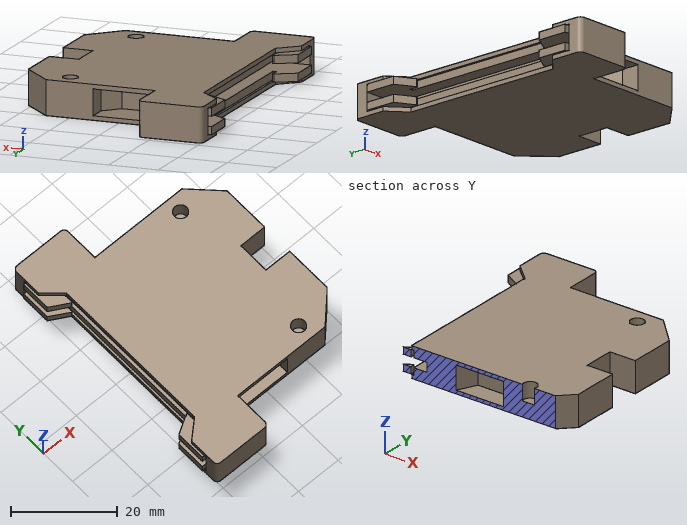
import cadquery as cq

length = 41.5
width = 57.0
thickness = 7.0

foot_front_x = 0.5
foot_back_x = 13.5
foot_corner_radius = 1.0
rail_seat_x = 4.4
seat_half_width = 17.9
seat_mouth_half_width = 21.4
body_half_width = 20.0
back_chamfer = 6.0
notch_depth = 6.0
notch_half_width = 3.5

wall = 0.9
slot_half_width = 25.5
slot_floor_x = 8.0
clip_thickness = 1.6
clip_half_width = 25.0
clip_bridge_x = 4.9
hook_tip_half_width = 18.4
hook_inner_half_width = 16.1
hook_slope_end_x = 4.0
hook_inner_x = 4.25
hook_relief_half_width = 18.0

entry_start_x = foot_back_x
entry_end_x = 26.0
entry_floor_start_x = 17.0
entry_floor_end_x = 23.0
entry_depth = 7.0
entry_straight_depth = 4.0

screw_hole_diameter = 3.0
screw_hole_depth = 3.5
screw_hole_x = 32.0
screw_hole_y = 16.5


def mirrored_outline(half_outline):
    """Close a +Y half outline with its mirror image about y = 0."""
    return half_outline + [(x, -y) for x, y in reversed(half_outline)]


def make_body():
    half_width = width / 2
    half_outline = [
        (rail_seat_x, seat_half_width),
        (foot_front_x, seat_mouth_half_width),
        (foot_front_x, half_width),
        (foot_back_x, half_width),
        (foot_back_x, body_half_width),
        (length - back_chamfer, body_half_width),
        (length, body_half_width - back_chamfer),
        (length, notch_half_width),
        (length - notch_depth, notch_half_width),
    ]
    body = cq.Workplane("XY").polyline(mirrored_outline(half_outline)).close().extrude(thickness)
    foot_corners = body.edges("|Z").edges(">Y or <Y")
    return foot_corners.fillet(foot_corner_radius)


def make_slot():
    return cq.Workplane("XY").box(
        slot_floor_x, 2 * slot_half_width, thickness - 2 * wall, centered=(False, True, False)
    ).translate((0, 0, wall))


def make_clip(bottom_z):
    half_outline = [
        (clip_bridge_x, hook_relief_half_width),
        (hook_inner_x, hook_relief_half_width),
        (hook_inner_x, hook_inner_half_width),
        (hook_slope_end_x, hook_inner_half_width),
        (0, hook_tip_half_width),
        (0, clip_half_width),
        (slot_floor_x, clip_half_width),
    ]
    plate = cq.Workplane("XY").workplane(offset=bottom_z)
    return plate.polyline(mirrored_outline(half_outline)).close().extrude(clip_thickness)


def make_wire_entry():
    floor_y = -body_half_width + entry_depth
    outline = [
        (entry_start_x, -body_half_width),
        (entry_end_x, -body_half_width),
        (entry_end_x, -body_half_width + entry_straight_depth),
        (entry_floor_end_x, floor_y),
        (entry_floor_start_x, floor_y),
    ]
    plane = cq.Workplane("XY").workplane(offset=wall)
    return plane.polyline(outline).close().extrude(thickness - 2 * wall)


def make_screw_holes():
    plane = cq.Workplane("XY").workplane(offset=thickness - screw_hole_depth)
    centres = [(screw_hole_x, -screw_hole_y), (screw_hole_x, screw_hole_y)]
    return plane.pushPoints(centres).circle(screw_hole_diameter / 2).extrude(screw_hole_depth)


wire_entry = make_wire_entry()

result = make_body().cut(make_slot())
for clip_bottom_z in (wall, thickness - wall - clip_thickness):
    result = result.union(make_clip(clip_bottom_z))
result = result.cut(wire_entry).cut(wire_entry.mirror("XZ")).cut(make_screw_holes())